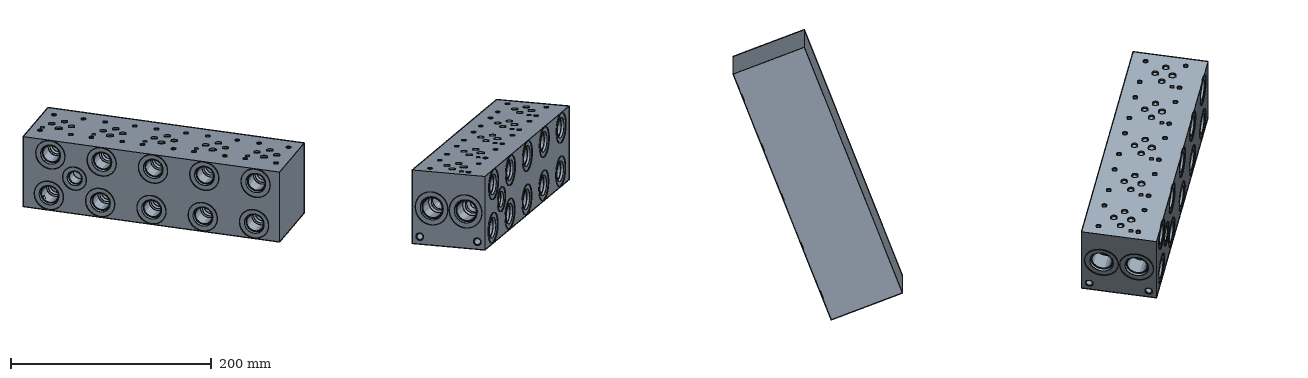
import cadquery as cq
import math

STATION_COUNT = 5
STATION_PITCH = 53.975
LENGTH = STATION_COUNT * STATION_PITCH
DEPTH = 76.2
HEIGHT = 76.2

DRILL_POINT_ANGLE = 118.0
PORT_CHAMFER_ANGLE = 15.0
PORT_CHAMFER_DEPTH = 2.54
SPOTFACE_DEPTH = 0.79

WORK_PORT = {"spotface": 30.63, "chamfer_root": 19.25, "tap": 17.5, "tap_depth": 19.05}
WORK_DRILL_DIA = 14.3
WORK_DRILL_DEPTH = 25.4
WORK_PORT_EDGE = 15.88
PORT_B_SHIFT = 1.59

GAUGE_PORT = {"spotface": 25.0, "chamfer_root": 14.3, "tap": 12.9, "tap_depth": 15.88}
GAUGE_PORT_X = STATION_PITCH

END_PORT = {"spotface": 34.14, "chamfer_root": 22.55, "tap": 20.45, "tap_depth": 22.2}
END_DRILL_DIA = 15.88
END_DRILL_DEPTH = 28.0
END_PORT_SPACING = 35.65
PRESSURE_PASSAGE_DIA = 8.9
PRESSURE_PASSAGE_DEPTH = 38.0

MOUNT_EDGE = 7.94
MOUNT_THREAD_DIA = 7.92
MOUNT_TAP_DIA = 6.53
MOUNT_DEPTH = 19.05

PATTERN_REAR_Y = 61.15
PATTERN_CENTRE_V = 15.5
VALVE_BOLTS = [(0, 0), (40.5, -0.75), (40.5, 31.75), (0, 31)]
VALVE_PORTS = [(21.5, 5.1), (21.5, 25.9), (12.7, 15.5)]
VALVE_FRONT_PORT = (30.2, 15.5)
VALVE_PIN = (33, 31.75)
BOLT_THREAD_DIA = 4.83
BOLT_TAP_DIA = 3.79
BOLT_DEPTH = 14.3
VALVE_PORT_DIA = 6.35
VALVE_FRONT_PORT_DIA = 7.14
VALVE_PORT_DEPTH = 1.9
PIN_DIA = 3.96
PIN_DEPTH = 6.35

FRONT_INWARD = cq.Vector(0, 1, 0)
TOP_INWARD = cq.Vector(0, 0, -1)
END_INWARD = cq.Vector(1, 0, 0)


def drilled(mouth, inward, diameter, depth):
    """Cylinder of full-diameter depth, finished with a drill point."""
    radius = diameter / 2
    point = radius / math.tan(math.radians(DRILL_POINT_ANGLE / 2))
    barrel = cq.Solid.makeCylinder(radius, depth, mouth, inward)
    tip = cq.Solid.makeCone(radius, 0, point, mouth + inward * depth, inward)
    return barrel.fuse(tip)


def tapped(mouth, inward, thread_dia, tap_dia, depth):
    """Drilled hole whose mouth has a 45 degree countersink out to the thread diameter."""
    sink = (thread_dia - tap_dia) / 2
    countersink = cq.Solid.makeCone(thread_dia / 2, tap_dia / 2, sink, mouth, inward)
    return drilled(mouth, inward, tap_dia, depth).fuse(countersink)


def port(mouth, inward, sizes):
    """Spotfaced O-ring port: shallow spotface, steep chamfer, pointed tap drill."""
    root = sizes["chamfer_root"] / 2
    rim = root + PORT_CHAMFER_DEPTH * math.tan(math.radians(PORT_CHAMFER_ANGLE))
    spotface = cq.Solid.makeCylinder(sizes["spotface"] / 2, SPOTFACE_DEPTH, mouth, inward)
    floor = mouth + inward * SPOTFACE_DEPTH
    chamfer = cq.Solid.makeCone(rim, root, PORT_CHAMFER_DEPTH, floor, inward)
    tap = drilled(mouth, inward, sizes["tap"], sizes["tap_depth"])
    return spotface.fuse(chamfer, tap)


def station_centres():
    """X of the middle of each valve station."""
    return [(index + 0.5) * STATION_PITCH for index in range(STATION_COUNT)]


def work_ports():
    """Lower port A and upper port B on the front face of every station."""
    cutters = []
    for centre in station_centres():
        port_a = cq.Vector(centre, 0, WORK_PORT_EDGE)
        port_b = cq.Vector(centre + PORT_B_SHIFT, 0, HEIGHT - WORK_PORT_EDGE)
        for mouth in (port_a, port_b):
            cutters.append(port(mouth, FRONT_INWARD, WORK_PORT))
            cutters.append(drilled(mouth, FRONT_INWARD, WORK_DRILL_DIA, WORK_DRILL_DEPTH))
    return cutters


def gauge_port():
    """Smaller port at mid height, between the first two stations."""
    mouth = cq.Vector(GAUGE_PORT_X, 0, HEIGHT / 2)
    return [port(mouth, FRONT_INWARD, GAUGE_PORT)]


def end_ports():
    """Pressure and tank ports side by side on the -X end; pressure goes on as a narrow passage."""
    pressure = cq.Vector(0, (DEPTH - END_PORT_SPACING) / 2, HEIGHT / 2)
    tank = cq.Vector(0, (DEPTH + END_PORT_SPACING) / 2, HEIGHT / 2)
    cutters = []
    for mouth in (pressure, tank):
        cutters.append(port(mouth, END_INWARD, END_PORT))
        cutters.append(drilled(mouth, END_INWARD, END_DRILL_DIA, END_DRILL_DEPTH))
    cutters.append(drilled(pressure, END_INWARD, PRESSURE_PASSAGE_DIA, PRESSURE_PASSAGE_DEPTH))
    return cutters


def end_mounting_holes():
    """Two tapped holes in the lower corners of the -X end."""
    return [
        tapped(cq.Vector(0, y, MOUNT_EDGE), END_INWARD, MOUNT_THREAD_DIA, MOUNT_TAP_DIA, MOUNT_DEPTH)
        for y in (MOUNT_EDGE, DEPTH - MOUNT_EDGE)
    ]


def valve_pattern(centre):
    """Valve ports, locating pin hole and four tapped bolt holes of one station."""
    def on_top(place):
        u, v = place
        return cq.Vector(centre + PATTERN_CENTRE_V - v, PATTERN_REAR_Y - u, HEIGHT)

    cutters = [drilled(on_top(p), TOP_INWARD, VALVE_PORT_DIA, VALVE_PORT_DEPTH) for p in VALVE_PORTS]
    cutters.append(drilled(on_top(VALVE_FRONT_PORT), TOP_INWARD, VALVE_FRONT_PORT_DIA, VALVE_PORT_DEPTH))
    cutters.append(drilled(on_top(VALVE_PIN), TOP_INWARD, PIN_DIA, PIN_DEPTH))
    for place in VALVE_BOLTS:
        cutters.append(tapped(on_top(place), TOP_INWARD, BOLT_THREAD_DIA, BOLT_TAP_DIA, BOLT_DEPTH))
    return cutters


body = cq.Solid.makeBox(LENGTH, DEPTH, HEIGHT)
cutters = work_ports() + gauge_port() + end_ports() + end_mounting_holes()
for station_centre in station_centres():
    cutters += valve_pattern(station_centre)

result = cq.Workplane("XY").newObject([body.cut(*cutters)])